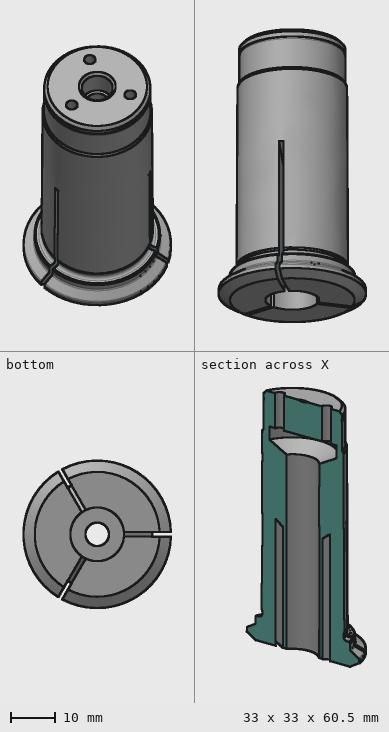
import cadquery as cq
import math

total_height = 60.5

flange_diameter = 33.0
flange_bottom_diameter = 27.9
flange_cone_angle = math.radians(30)
rim_edge_radius = 0.4

collar_diameter = 28.1
collar_top = 6.0
collar_cone_start = 4.0
collar_chamfer = 0.3
collar_root_radius = 0.45

neck_diameter = 24.55
neck_fillet = 0.8
neck_top = 7.45
body_start = 7.95

body_bottom_diameter = 24.95
body_top_diameter = 24.55
body_top = 50.6
head_diameter = 23.8
head_start = 51.2
head_chamfer = 0.8

groove_top = 58.5
groove_bottom = 58.0
groove_depth = 0.15

bore_diameter = 12.0
chamber_diameter = 20.4
chamber_top = 52.0
chamber_height = 3.0
chamber_floor_angle = math.radians(30)
thread_core_diameter = 6.92
thread_depth = 6.0
thread_chamfer_diameter = 8.2
through_diameter = 5.2

coolant_diameter = 2.5
coolant_pitch_radius = 7.72

slot_count = 3
slot_width = 1.0
slot_top = 33.4
slot_end_angle = math.radians(40)


def make_body():
    """Revolve the outer profile about Z."""
    flange_radius = flange_diameter / 2
    flange_bottom_radius = flange_bottom_diameter / 2
    collar_radius = collar_diameter / 2
    neck_radius = neck_diameter / 2
    head_radius = head_diameter / 2
    slope = math.tan(flange_cone_angle)
    rim_bottom = (flange_radius - flange_bottom_radius) * slope
    rim_top = collar_cone_start - (flange_radius - collar_radius) * slope

    cone_cos = math.cos(flange_cone_angle)
    cone_sin = math.sin(flange_cone_angle)
    rim_tangent = rim_edge_radius * slope
    root_tangent = collar_root_radius * slope

    profile = (
        cq.Workplane("XZ")
        .moveTo(0, 0)
        .lineTo(flange_bottom_radius, 0)
        .lineTo(flange_radius, rim_bottom)
        .lineTo(flange_radius, rim_top - rim_tangent)
        .radiusArc(
            (flange_radius - rim_tangent * cone_cos, rim_top + rim_tangent * cone_sin),
            -rim_edge_radius,
        )
        .lineTo(
            collar_radius + root_tangent * cone_cos,
            collar_cone_start - root_tangent * cone_sin,
        )
        .radiusArc((collar_radius, collar_cone_start + root_tangent), collar_root_radius)
        .lineTo(collar_radius, collar_top - collar_chamfer)
        .lineTo(collar_radius - collar_chamfer, collar_top)
        .lineTo(neck_radius + neck_fillet, collar_top)
        .radiusArc((neck_radius, collar_top + neck_fillet), neck_fillet)
        .lineTo(neck_radius, neck_top)
        .lineTo(body_bottom_diameter / 2, body_start)
        .lineTo(body_top_diameter / 2, body_top)
        .lineTo(head_radius, head_start)
        .lineTo(head_radius, groove_bottom)
        .lineTo(head_radius - groove_depth, groove_top)
        .lineTo(head_radius, groove_top)
        .lineTo(head_radius, total_height - head_chamfer)
        .lineTo(head_radius - head_chamfer, total_height)
        .lineTo(0, total_height)
        .close()
    )
    return profile.revolve(360, (0, 0, 0), (0, 1, 0))


def make_cavity():
    """Revolve the tool bore, the chamber above it, the passage and the threaded hole."""
    bore_radius = bore_diameter / 2
    chamber_radius = chamber_diameter / 2
    through_radius = through_diameter / 2
    thread_radius = thread_core_diameter / 2
    chamfer_radius = thread_chamfer_diameter / 2
    chamfer_depth = chamfer_radius - thread_radius
    floor_outer = chamber_top - chamber_height
    floor_inner = floor_outer - (chamber_radius - bore_radius) * math.tan(chamber_floor_angle)
    profile = (
        cq.Workplane("XZ")
        .moveTo(0, 0)
        .lineTo(bore_radius, 0)
        .lineTo(bore_radius, floor_inner)
        .lineTo(chamber_radius, floor_outer)
        .lineTo(chamber_radius, chamber_top)
        .lineTo(through_radius, chamber_top)
        .lineTo(through_radius, total_height - thread_depth)
        .lineTo(thread_radius, total_height - thread_depth)
        .lineTo(thread_radius, total_height - chamfer_depth)
        .lineTo(chamfer_radius, total_height)
        .lineTo(0, total_height)
        .close()
    )
    return profile.revolve(360, (0, 0, 0), (0, 1, 0))


def make_coolant_hole():
    """Vertical hole on the +X side, ending in the chamber."""
    return (
        cq.Workplane("XY")
        .workplane(offset=chamber_top)
        .center(coolant_pitch_radius, 0)
        .circle(coolant_diameter / 2)
        .extrude(total_height - chamber_top)
    )


def make_slot():
    """Slot on the +X side, from the axis through the wall, with a sloped upper end."""
    outer_reach = flange_diameter
    body_radius = body_top_diameter / 2
    end_slope = math.tan(slot_end_angle)
    inner_end = slot_top - body_radius * end_slope
    outer_end = inner_end + outer_reach * end_slope
    return (
        cq.Workplane("XZ")
        .polyline([(0, 0), (outer_reach, 0), (outer_reach, outer_end), (0, inner_end)])
        .close()
        .extrude(slot_width / 2, both=True)
    )


result = make_body().cut(make_cavity())
for index in range(slot_count):
    angle = index * 360 / slot_count
    for cutter in (make_coolant_hole(), make_slot()):
        result = result.cut(cutter.rotate((0, 0, 0), (0, 0, 1), angle))